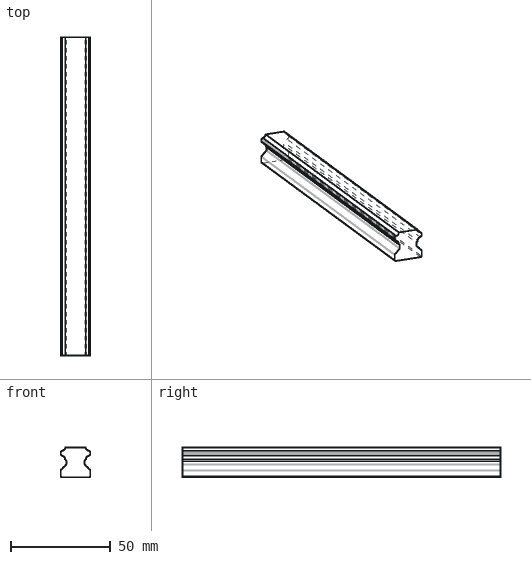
import cadquery as cq

length = 160.0
width = 15.0
height = 15.0
half_width = width / 2

foot_chamfer = 0.5
foot_top = 3.5
neck_half_width = 4.6
neck_bottom = foot_top + half_width - neck_half_width
neck_top = 8.2

lip_bottom = 11.5
lip_top = 12.6
face_depth = 0.8
top_half_width = 5.1
lower_groove_end = (5.3, 9.1)
groove_radius = 1.6

corner_radius = 0.6

foot_corner = (half_width, foot_top)
neck_corner = (neck_half_width, neck_bottom)
lip_lower_corner = (half_width, lip_bottom)
lip_upper_corner = (half_width, lip_top)
rounded_corners = [foot_corner, neck_corner, lip_lower_corner, lip_upper_corner]


def half_section():
    """Right half of the cross-section, from the bottom centre up the +X side to the top centre."""
    lower_groove_start = (half_width - face_depth, lip_bottom - face_depth)
    upper_groove_start = (half_width - face_depth, lip_top + face_depth)
    return (
        cq.Workplane("XZ", origin=(0, length / 2, 0))
        .lineTo(half_width - foot_chamfer, 0)
        .lineTo(half_width, foot_chamfer)
        .lineTo(*foot_corner)
        .lineTo(*neck_corner)
        .lineTo(neck_half_width, neck_top)
        .lineTo(*lower_groove_end)
        .radiusArc(lower_groove_start, groove_radius)
        .lineTo(*lip_lower_corner)
        .lineTo(*lip_upper_corner)
        .lineTo(*upper_groove_start)
        .radiusArc((top_half_width, height), groove_radius)
        .lineTo(0, height)
        .close()
    )


def round_corners(body):
    """Round the long edges at the listed corners of the cross-section."""
    for x, z in rounded_corners:
        edge = cq.selectors.NearestToPointSelector((x, 0, z))
        body = body.edges("|Y").edges(edge).fillet(corner_radius)
    return body


half_rail = round_corners(half_section().extrude(length))
result = half_rail.union(half_rail.mirror("YZ")).clean()